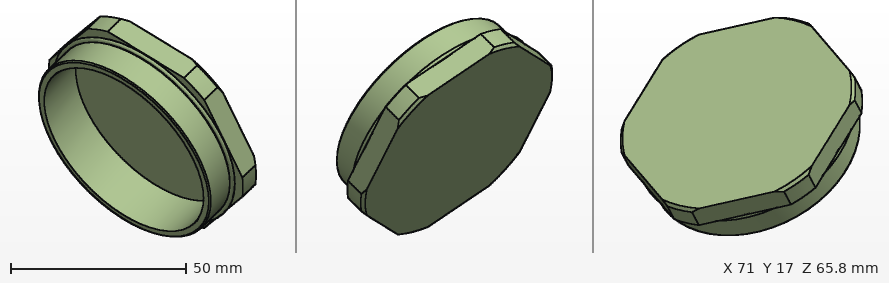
import cadquery as cq

head_thickness = 6.95
across_flats = 65.3
corner_diameter = 70.95
head_chamfer = 0.9
hexagon_turn = 30

total_depth = 17.0
neck_radius = 31.4
neck_chamfer = 0.4
bore_radius = 29.1
floor_thickness = 2.55

ring_outer_radius = 32.885
ring_section_radius = 0.745
ring_seating = 0.035

neck_length = total_depth - head_thickness
bore_depth = total_depth - floor_thickness


def disc(radius, start_y, length):
    """Cylinder about the Y axis, running from start_y towards +Y."""
    return cq.Workplane("XZ", origin=(0, start_y, 0)).circle(radius).extrude(-length)


def make_head():
    """Hexagon with flats facing +Z and -Z, its corners turned and chamfered at the back."""
    hexagon = (
        cq.Workplane("XZ")
        .polygon(6, across_flats, circumscribed=True)
        .extrude(-head_thickness)
        .rotate((0, 0, 0), (0, 1, 0), hexagon_turn)
    )
    turned_blank = disc(corner_diameter / 2, 0, head_thickness).faces(">Y").chamfer(head_chamfer)
    return hexagon.intersect(turned_blank)


def make_neck():
    """Round neck in front of the head, with a chamfered outer rim."""
    return disc(neck_radius, -neck_length, neck_length).faces("<Y").chamfer(neck_chamfer)


def make_ring():
    """Ring of round section around the neck, against the front of the head."""
    center_radius = ring_outer_radius - ring_section_radius
    center_y = ring_seating - ring_section_radius
    return (
        cq.Workplane("XY")
        .center(center_radius, center_y)
        .circle(ring_section_radius)
        .revolve(360, (-center_radius, 0), (-center_radius, 1))
    )


bore = disc(bore_radius, -neck_length, bore_depth)
result = make_head().union(make_neck()).union(make_ring()).cut(bore)